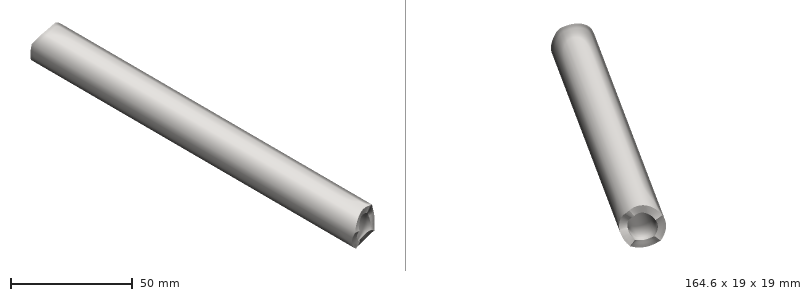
import cadquery as cq
import math

length = 164.6
outer_radius = 9.5
inner_radius = 6.1

cutter_inner = 3.3
cutter_outer = 13.2
end_clearance = 1.6

scallops = [
    (-139, -54, 0.0, 1.5, 0.0),
    (-54, -8, 0.0, 1.8, 3.3),
    (-8, 41, 3.3, 3.8, 2.6),
    (41, 55, 2.6, 2.39, 2.3),
    (55, 100, 2.3, 2.72, 2.3),
    (100, 145, 2.3, 1.3, 0.0),
    (145, 221, 0.0, 0.58, 0.0),
]


def scallop_cutter(start, end, start_depth, middle_depth, end_depth):
    """Wedge that removes one scallop at the +X end; its floor runs radially."""
    half_slope = math.tan(math.radians(end - start) / 2)
    middle = math.radians((start + end) / 2)
    radial = cq.Vector(0, math.cos(middle), math.sin(middle))
    end_x = length / 2

    def section(distance):
        half_width = distance * half_slope
        plane = cq.Plane(origin=radial * distance, xDir=(1, 0, 0), normal=radial)
        profile = (
            cq.Workplane(plane)
            .moveTo(end_x - start_depth, half_width)
            .threePointArc((end_x - middle_depth, 0), (end_x - end_depth, -half_width))
            .lineTo(end_x + end_clearance, -half_width)
            .lineTo(end_x + end_clearance, half_width)
            .close()
        )
        return profile.val()

    return cq.Solid.makeLoft([section(cutter_inner), section(cutter_outer)], True)


tube = (
    cq.Workplane(cq.Plane(origin=(0, 0, 0), xDir=(0, 0, 1), normal=(1, 0, 0)))
    .circle(outer_radius)
    .circle(inner_radius)
    .extrude(length / 2, both=True)
)

for scallop in scallops:
    cutter = cq.Workplane(obj=scallop_cutter(*scallop))
    tube = tube.cut(cutter).cut(cutter.mirror("YZ"))

result = tube